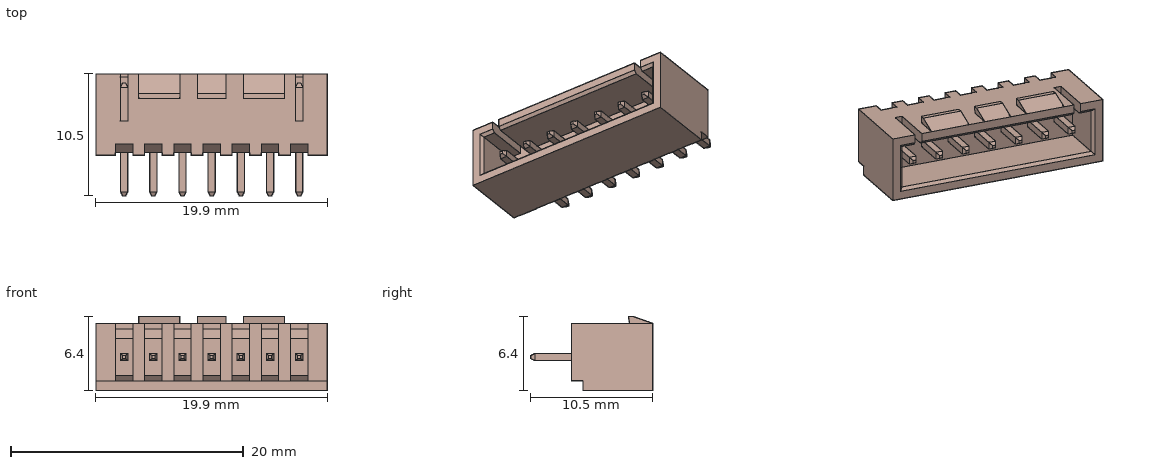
import cadquery as cq


length = 19.9
depth = 7.0
height = 5.8
top = height / 2
bottom = -height / 2

step_height = 0.84
groove_width = 1.5
groove_depth = 1.0
groove_lip = 0.48
boss_slope_height = 0.84
boss_recess = 0.24

pin_count = 7
pitch = 2.5
pin_width = 0.64
pin_overhang = 3.5
pin_setback = 0.78
tip_length = 0.38
tip_width = 0.25

wall = 1.0
cavity_depth = 4.04
mouth_chamfer = 0.25
slot_width = pin_width

latch_height = 0.6
latch_length = 2.1
latch_flat = 0.42
latch_undercut = 0.1
center_latch_width = 2.47
side_latch_width = 3.55
side_latch_offset = 4.5

pin_span = (pin_count - 1) * pitch
pin_positions = [i * pitch - pin_span / 2 for i in range(pin_count)]


def extrude_along_x(points, x_center, width):
    """Extrude a (Y, Z) outline symmetrically about x_center."""
    profile = cq.Workplane("YZ", origin=(x_center, 0, 0)).polyline(points).close()
    return profile.extrude(width / 2, both=True)


def make_shell():
    """Block with the bottom rear step and the chamfered mating cavity."""
    block = cq.Workplane("XY").box(length, depth, height).translate((0, depth / 2, 0))
    step = cq.Workplane("XY").box(length, groove_depth, step_height, centered=(True, False, False))
    cavity_length = length - 2 * wall
    cavity_height = height - 2 * wall
    cavity = (
        cq.Workplane("XZ", origin=(0, depth, 0))
        .rect(cavity_length, cavity_height)
        .extrude(cavity_depth)
    )
    mouth = (
        cq.Workplane("XZ", origin=(0, depth, 0))
        .rect(cavity_length + 2 * mouth_chamfer, cavity_height + 2 * mouth_chamfer)
        .workplane(offset=mouth_chamfer)
        .rect(cavity_length, cavity_height)
        .loft(ruled=True)
    )
    return block.cut(step.translate((0, 0, bottom))).cut(cavity).cut(mouth)


def make_groove(x):
    """Full-height rear groove, leaving a boss with sloped ends around the pin."""
    boss_end = top - groove_lip
    flat_end = boss_end - boss_slope_height
    outline = [
        (0, top),
        (groove_depth, top),
        (groove_depth, boss_end),
        (boss_recess, flat_end),
        (boss_recess, -flat_end),
        (groove_depth, -boss_end),
        (groove_depth, bottom),
        (0, bottom),
    ]
    return extrude_along_x(outline, x, groove_width)


def make_slot(x):
    """Slot through the top wall into the cavity, open toward +Y."""
    slot = cq.Workplane("XY").box(slot_width, cavity_depth, top, centered=(True, False, False))
    return slot.translate((x, depth - cavity_depth, 0))


def make_latch(x, width):
    """Ramped catch rising from the cavity-mouth edge, with an undercut rear face."""
    catch_y = depth - latch_length
    outline = [
        (depth, top),
        (catch_y + latch_flat, top + latch_height),
        (catch_y, top + latch_height),
        (catch_y + latch_undercut, top),
    ]
    return extrude_along_x(outline, x, width)


def make_tip(x, y, direction):
    """Square taper starting at y and pointing along direction (+1 or -1) in Y."""
    return (
        cq.Workplane("XZ", origin=(x, y, 0))
        .rect(pin_width, pin_width)
        .workplane(offset=-direction * tip_length)
        .rect(tip_width, tip_width)
        .loft(ruled=True)
    )


def make_pin(x):
    """Square pin with a taper at both ends."""
    rear = -pin_overhang + tip_length
    front = depth - pin_setback - tip_length
    shank = cq.Workplane("XZ", origin=(x, front, 0)).rect(pin_width, pin_width).extrude(front - rear)
    return shank.union(make_tip(x, rear, -1)).union(make_tip(x, front, 1))


result = make_shell()

for x in pin_positions:
    result = result.cut(make_groove(x))

for x in (pin_positions[0], pin_positions[-1]):
    result = result.cut(make_slot(x))

result = result.union(make_latch(0, center_latch_width))
for x in (-side_latch_offset, side_latch_offset):
    result = result.union(make_latch(x, side_latch_width))

for x in pin_positions:
    result = result.union(make_pin(x))